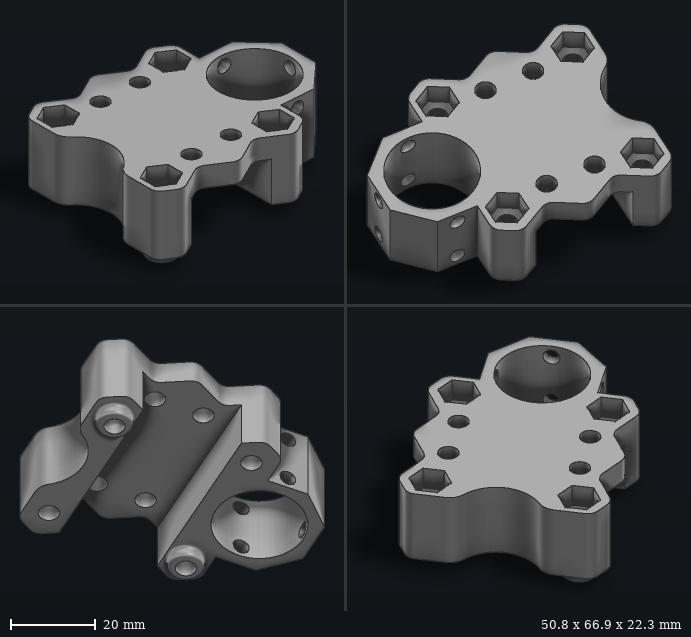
import cadquery as cq
import math

body_width = 50.8
body_height = 19.1
corner_pitch = 35.95
end_margin = 6.0
outline_radius = 3.2
side_slope = math.radians(60)

scallop_radius = 11.4
scallop_depth = 6.5
scallop_edge_radius = 5.0

total_length = 66.9
ring_width = 28.5
bore_diameter = 22.9
screw_diameter = 4.0
screw_pitch = 12.7

channel_width = 25.8
plate_thickness = 6.35

hole_diameter = 5.0
nut_width = 8.9
nut_depth = 5.8
plate_hole_spacing_x = 31.7
plate_hole_spacing_y = 12.7
foot_diameter = 8.8
foot_height = 3.15
foot_fillet = 1.3

corner_offset = corner_pitch / 2
end_y = corner_offset + end_margin
ring_end_y = total_length - end_y
ring_center_y = ring_end_y - ring_width / 2
octagon_cut = ring_width / (2 + math.sqrt(2))
octagon_shoulder_y = ring_end_y - octagon_cut
corner_points = [(x, y) for x in (-corner_offset, corner_offset) for y in (-corner_offset, corner_offset)]
foot_points = [(-corner_offset, corner_offset), (corner_offset, -corner_offset)]


def make_body():
    """Zigzag-sided block with rounded corners and a scalloped -Y end."""
    tip_x = body_width / 2 + outline_radius * (1 / math.sin(side_slope) - 1)
    valley_y = corner_offset / 2
    valley_x = tip_x - valley_y / math.tan(side_slope)
    end_x = tip_x - end_margin / math.tan(side_slope)
    right_side = [
        (end_x, -end_y),
        (tip_x, -corner_offset),
        (valley_x, -valley_y),
        (tip_x, 0),
        (valley_x, valley_y),
        (tip_x, corner_offset),
        (end_x, end_y),
    ]
    left_side = [(-x, y) for x, y in reversed(right_side)]
    body = cq.Workplane("XY").polyline(right_side + left_side).close().extrude(body_height)
    body = body.edges("|Z").fillet(outline_radius)

    scallop_center_y = -end_y + scallop_depth - scallop_radius
    scallop = cq.Workplane("XY").center(0, scallop_center_y).circle(scallop_radius).extrude(body_height)
    mouth = cq.selectors.BoxSelector(
        (-scallop_radius, -end_y - 0.7, -0.7),
        (scallop_radius, -end_y + 0.7, body_height + 0.7),
    )
    return body.cut(scallop).edges("|Z").edges(mouth).fillet(scallop_edge_radius)


def make_ring_block():
    """Outer half octagon of the clamp ring, carried straight back into the body."""
    half_width = ring_width / 2
    half_flat = half_width - octagon_cut
    outline = [
        (-half_width, corner_offset),
        (half_width, corner_offset),
        (half_width, octagon_shoulder_y),
        (half_flat, ring_end_y),
        (-half_flat, ring_end_y),
        (-half_width, octagon_shoulder_y),
    ]
    return cq.Workplane("XY").polyline(outline).close().extrude(body_height)


def make_channel():
    """Slot across the underside that separates the legs and leaves the plate."""
    channel_top = body_height - plate_thickness
    return cq.Workplane("XY").rect(2 * body_width, channel_width).extrude(channel_top)


def add_feet(block):
    """Add round feet with rounded lower rims, blended into the underside of the legs."""
    foot_radius = foot_diameter / 2
    feet = cq.Workplane("XY").pushPoints(foot_points).circle(foot_radius).extrude(-foot_height)
    foot_edges = (
        block.union(feet)
        .edges("%CIRCLE")
        .filter(lambda edge: math.isclose(edge.radius(), foot_radius))
    )
    return foot_edges.fillet(foot_fillet)


def make_vertical_holes():
    """Ring bore, plate holes, and corner holes with hexagonal nut pockets."""
    bottom = cq.Workplane("XY", origin=(0, 0, -foot_height))
    full_height = body_height + foot_height
    bore = bottom.center(0, ring_center_y).circle(bore_diameter / 2).extrude(full_height)
    plate_holes = (
        bottom.rarray(plate_hole_spacing_x, plate_hole_spacing_y, 2, 2)
        .circle(hole_diameter / 2)
        .extrude(full_height)
    )
    corner_holes = bottom.pushPoints(corner_points).circle(hole_diameter / 2).extrude(full_height)
    nut_pockets = (
        cq.Workplane("XY", origin=(0, 0, body_height - nut_depth))
        .pushPoints(corner_points)
        .polygon(6, nut_width / math.cos(math.radians(30)))
        .extrude(nut_depth)
    )
    return bore.union(plate_holes).union(corner_holes).union(nut_pockets)


def make_screw_holes():
    """Pairs of clamp screw holes through both side walls and the +Y wall of the ring."""
    flank_mid_y = (end_y + octagon_shoulder_y) / 2
    mid_z = body_height / 2
    side_holes = (
        cq.Workplane("YZ", origin=(0, flank_mid_y, mid_z))
        .rarray(0.7, screw_pitch, 1, 2)
        .circle(screw_diameter / 2)
        .extrude(ring_width / 2, both=True)
    )
    end_holes = (
        cq.Workplane("XZ", origin=(0, ring_end_y, mid_z))
        .rarray(0.7, screw_pitch, 1, 2)
        .circle(screw_diameter / 2)
        .extrude(ring_width / 2)
    )
    return side_holes.union(end_holes)


block = make_body().union(make_ring_block()).cut(make_channel())
result = add_feet(block).cut(make_vertical_holes()).cut(make_screw_holes())